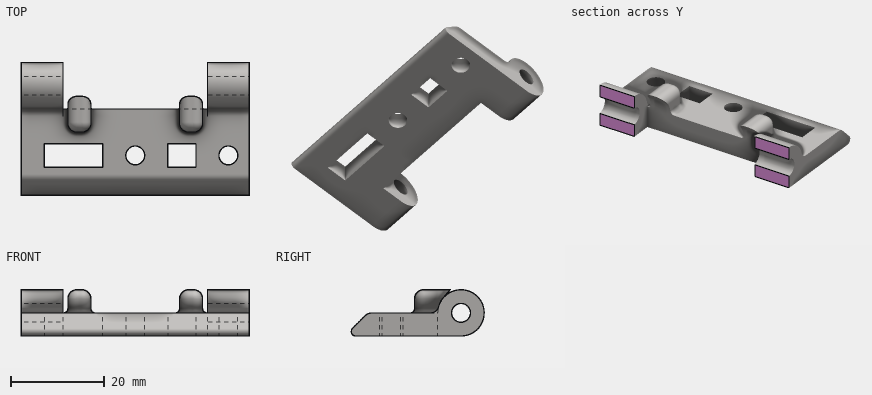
import cadquery as cq
import math

LENGTH = 49.0
END_X = LENGTH / 2

BARREL_RADIUS = 5.0
BARREL_WIDTH = 9.0
BARREL_BORE = 4.0
BARREL_FILLET = 1.7

LEAF_TOP = 0.0
LEAF_BOTTOM = -BARREL_RADIUS
LEAF_THICKNESS = LEAF_TOP - LEAF_BOTTOM
BACK_RADIUS = BARREL_RADIUS
BEVEL_START = -20.0
BEVEL_FILLET = 2.0
NOSE_FILLET = 1.0

PIN_WIDTH = 5.0
PIN_OFFSET = 12.0
PIN_FRONT = -10.0
PIN_TIP = -2.28
PIN_TOP = BARREL_RADIUS
PIN_FILLET = 2.0
FOOT_FILLET = 0.9

HOLE_ROW = -15.0
HOLE_DIAMETER = 4.0
HOLE_PLACES = (0.0, 20.0)
WINDOW_DEPTH = 5.0
SQUARE_WINDOW_LENGTH = 6.0
SQUARE_WINDOW_PLACE = 10.0
LONG_WINDOW_LENGTH = 12.5
LONG_WINDOW_INSET = 5.0
LONG_WINDOW_PLACE = -END_X + LONG_WINDOW_INSET + LONG_WINDOW_LENGTH / 2


def section_at(x):
    """Workplane for a section in Y and Z that is extruded toward +X."""
    return cq.Workplane("YZ", origin=(x, 0, 0))


def around_axis(radius, angle):
    """Point (Y, Z) around the barrel axis, at an angle measured from -Y toward +Z."""
    return (-radius * math.cos(angle), radius * math.sin(angle))


def make_leaf():
    """Leaf blank with a rounded 45 degree bevel; it still reaches the barrel axis."""
    leaf = (
        section_at(-END_X)
        .moveTo(0, LEAF_BOTTOM)
        .lineTo(0, LEAF_TOP)
        .lineTo(BEVEL_START, LEAF_TOP)
        .lineTo(BEVEL_START - LEAF_THICKNESS, LEAF_BOTTOM)
        .close()
        .extrude(LENGTH)
    )
    bevel_edge = cq.NearestToPointSelector((0, BEVEL_START, LEAF_TOP))
    leaf = leaf.edges(bevel_edge).fillet(BEVEL_FILLET)
    return leaf.edges("<Y").fillet(NOSE_FILLET)


def make_pin(center_x):
    """Pin blank with rounded front and top; it still reaches the barrel axis."""
    pin = (
        cq.Workplane("XY", origin=(center_x, PIN_FRONT / 2, LEAF_BOTTOM))
        .rect(PIN_WIDTH, -PIN_FRONT)
        .extrude(PIN_TOP - LEAF_BOTTOM)
    )
    pin = pin.edges("|Z and <Y").fillet(PIN_FILLET)
    return pin.faces(">Z").edges("not(>Y)").fillet(PIN_FILLET)


def add_pins(body):
    """Put both pins on the leaf and blend their feet into its top."""
    for side in (-1, 1):
        body = body.union(make_pin(side * PIN_OFFSET))
    reach_x = PIN_OFFSET + PIN_WIDTH
    margin = 0.01
    foot_edges = cq.selectors.BoxSelector(
        (-reach_x, PIN_FRONT - margin, LEAF_TOP - margin),
        (reach_x, -margin, LEAF_TOP + margin),
    )
    return body.edges(foot_edges).fillet(FOOT_FILLET)


def make_back_clearance():
    """Space behind leaf and pins: upright, round the barrel, then a tangent line to the tip."""
    tip_distance = math.hypot(PIN_TIP, PIN_TOP)
    tangent_angle = math.atan2(PIN_TOP, -PIN_TIP) - math.acos(BACK_RADIUS / tip_distance)
    arc_middle = around_axis(BACK_RADIUS, tangent_angle / 2)
    arc_end = around_axis(BACK_RADIUS, tangent_angle)
    return (
        section_at(-END_X)
        .moveTo(-BACK_RADIUS, LEAF_BOTTOM)
        .lineTo(-BACK_RADIUS, 0)
        .threePointArc(arc_middle, arc_end)
        .lineTo(PIN_TIP, PIN_TOP)
        .lineTo(0, PIN_TOP)
        .lineTo(0, LEAF_BOTTOM)
        .close()
        .extrude(LENGTH)
    )


def make_barrel(start_x):
    """Bored barrel, flush with the leaf bottom and filleted into the leaf top."""
    fillet_center_z = LEAF_TOP + BARREL_FILLET
    fillet_center_y = -math.sqrt((BARREL_RADIUS + BARREL_FILLET) ** 2 - fillet_center_z**2)
    touch_angle = math.atan2(fillet_center_z, -fillet_center_y)
    half_sweep = (math.pi / 2 - touch_angle) / 2
    fillet_middle = (
        fillet_center_y + BARREL_FILLET * math.sin(half_sweep),
        fillet_center_z - BARREL_FILLET * math.cos(half_sweep),
    )
    barrel = (
        section_at(start_x)
        .moveTo(0, LEAF_BOTTOM)
        .lineTo(fillet_center_y, LEAF_BOTTOM)
        .lineTo(fillet_center_y, LEAF_TOP)
        .threePointArc(fillet_middle, around_axis(BARREL_RADIUS, touch_angle))
        .threePointArc((BARREL_RADIUS, 0), (0, LEAF_BOTTOM))
        .close()
        .extrude(BARREL_WIDTH)
    )
    bore = section_at(start_x).circle(BARREL_BORE / 2).extrude(BARREL_WIDTH)
    return barrel.cut(bore)


def make_openings():
    """Round holes and rectangular windows in one row through the leaf."""
    row = cq.Workplane("XY", origin=(0, HOLE_ROW, LEAF_BOTTOM))
    openings = (
        row.pushPoints([(x, 0) for x in HOLE_PLACES])
        .circle(HOLE_DIAMETER / 2)
        .extrude(LEAF_THICKNESS)
    )
    windows = (
        (SQUARE_WINDOW_PLACE, SQUARE_WINDOW_LENGTH),
        (LONG_WINDOW_PLACE, LONG_WINDOW_LENGTH),
    )
    for place, length in windows:
        window = row.center(place, 0).rect(length, WINDOW_DEPTH).extrude(LEAF_THICKNESS)
        openings = openings.union(window)
    return openings


body = add_pins(make_leaf())
body = body.cut(make_back_clearance())
for barrel_start in (-END_X, END_X - BARREL_WIDTH):
    body = body.union(make_barrel(barrel_start))
result = body.cut(make_openings())